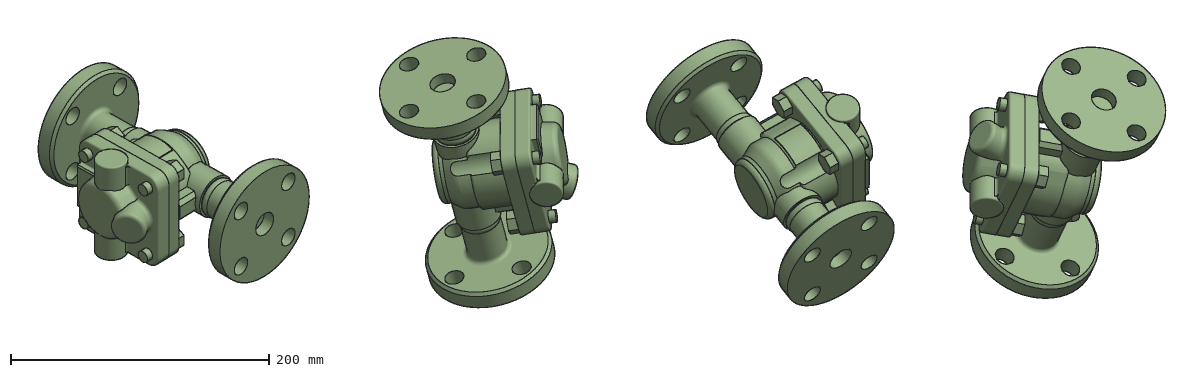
import cadquery as cq
import math

SIN_45 = math.sin(math.radians(45))

LENGTH = 195.0
FLANGE_DIA = 100.0
FLANGE_THICKNESS = 14.6
FLANGE_CHAMFER = 2.4
FLANGE_HOLE_DIA = 15.0
FLANGE_BOLT_CIRCLE = 75.0
FLANGE_HOLE_COUNT = 4
FLANGE_HOLE_START = 45.0
BORE_DIA = 20.0
BORE_DEPTH = 10.0
PIPE_DIA = 32.0
NECK_FILLET = 3.6
BEAD_HEIGHT = 0.8
BEAD_START = 45.6
BEAD_END = 50.8
ARM_DIA = 36.0
ARM_REACH = 45.0

BODY_X = -6.0
BODY_TOP_Y = 22.0
CAP_RADIUS = 26.0
CAP_SHOULDER_DEPTH = 4.0
CAP_ROUND = 5.0
CAP_FACE_RADIUS = 22.9
CAP_EDGE_Y = 17.0
NECK_RADIUS = 25.6
NECK_FLARE_Y = 13.8
NECK_FLARE_RADIUS = 26.4
SHOULDER_MID_Y = 7.5
SHOULDER_MID_RADIUS = 30.5
SHOULDER_Y = 1.2
SHOULDER_RADIUS = 32.1
CHEEK_HALF_WIDTH = 36.5
CHEEK_EDGE_X = 28.8
CHEEK_EDGE_Z = 19.5
CROWN_RADIUS = 33.0
CHEEK_BACK_Y = -6.0
CHEEK_ROUND = 3.5

JOINT_X = -3.0
JOINT_WIDTH = 85.2
JOINT_BACK_Y = -34.8
JOINT_SPLIT_Y = -46.7
JOINT_FRONT_Y = -59.0
BODY_FLANGE_SHIFT = 0.2
COVER_EXTRA_HEIGHT = 0.2
BODY_FLANGE_ROUND = 1.5
COVER_ROUND = 1.8
BOLT_PITCH = 63.8
BOLT_OFFSET = BOLT_PITCH / 2
JOINT_CORNER = JOINT_WIDTH / 2 - BOLT_OFFSET
BOLT_DIA = 10.0
BOLT_END_Y = -64.8
NUT_FLATS = 16.0
NUT_SIDES = 6
NUT_HALF_SIDE_ANGLE = 180 / NUT_SIDES
NUT_HEIGHT = 7.9
CHANNEL_RADIUS = 12.8
CHANNEL_END_Y = 12.0

RIB_END_X = 40.2
RIB_HALF_HEIGHT = 9.4
RIB_CHAMFER = 3.4

PAD_X_MIN = -22.9
PAD_X_MAX = 7.5
PAD_BACK_Y = -8.8
PAD_FRONT_Y = -33.3
PAD_HEIGHT = 0.8

DOME_RADIUS = 26.8
DOME_END_Y = -77.2
DOME_ROUND = 5.0
DOME_DRAFT = 8.0
DOME_FOOT_FILLET = 2.8
BOSS_DIA = 26.2
BOSS_HALF_HEIGHT = 44.5
BOSS_Y = -63.8
BOSS_ROUND = 1.2
BOSS_FOOT_HALF_WIDTH = 15.6
BOSS_FOOT_FILLET = 2.8
BOSS_COLLAR_FILLET = 0.9
PLUG_DIA = 28.0
PLUG_TILT = 30.0
PLUG_FACE_X = 26.5
PLUG_FACE_Y = -78.65
PLUG_LENGTH = 32.0
PLUG_ROUND = 3.0
PLUG_FOOT_FILLET = 3.0
NAMEPLATE_END_X = -42.8
NAMEPLATE_HEIGHT = 39.6
NAMEPLATE_FOOT_FILLET = 0.9
NAMEPLATE_Y = -64.4
NAMEPLATE_CHAMFER = 1.2


def cylinder_x(dia, x_start, x_end):
    length = x_end - x_start
    return cq.Workplane("YZ").workplane(offset=x_start).circle(dia / 2).extrude(length)


def cylinder_y(x, z, dia, y_start, y_end):
    plane = cq.Workplane("XZ", origin=(x, y_start, z))
    return plane.circle(dia / 2).extrude(y_start - y_end)


def joint_bolts():
    return [
        (JOINT_X + sx * BOLT_OFFSET, sz * BOLT_OFFSET)
        for sx in (-1, 1)
        for sz in (-1, 1)
    ]


def pipe_end():
    """Flange, pipe, weld bead and arm on the +X side."""
    face = LENGTH / 2
    back = face - FLANGE_THICKNESS
    flange = cylinder_x(FLANGE_DIA, back, face).faces("<X").chamfer(FLANGE_CHAMFER)
    pipe = cylinder_x(PIPE_DIA, ARM_REACH, back)
    end = flange.union(pipe)
    end = end.edges(cq.selectors.RadiusNthSelector(0)).edges(">X").fillet(NECK_FILLET)
    pipe_radius = PIPE_DIA / 2
    bead_crest = ((BEAD_START + BEAD_END) / 2, pipe_radius + BEAD_HEIGHT)
    bead = (
        cq.Workplane("XY")
        .moveTo(BEAD_START, 0)
        .lineTo(BEAD_START, pipe_radius)
        .threePointArc(bead_crest, (BEAD_END, pipe_radius))
        .lineTo(BEAD_END, 0)
        .close()
        .revolve(360, (0, 0), (1, 0))
    )
    arm = cylinder_x(ARM_DIA, 0, ARM_REACH)
    end = end.union(bead).union(arm)
    holes = (
        cq.Workplane("YZ")
        .workplane(offset=back)
        .polarArray(FLANGE_BOLT_CIRCLE / 2, FLANGE_HOLE_START, 360, FLANGE_HOLE_COUNT)
        .circle(FLANGE_HOLE_DIA / 2)
        .extrude(FLANGE_THICKNESS)
    )
    bore = cylinder_x(BORE_DIA, face - BORE_DEPTH, face)
    return end.cut(holes).cut(bore)


def body_barrel():
    """Turned body from the rounded cap down to the joint."""
    profile = (
        cq.Workplane("XY")
        .moveTo(0, BODY_TOP_Y)
        .lineTo(CAP_FACE_RADIUS, BODY_TOP_Y)
        .radiusArc((CAP_RADIUS, BODY_TOP_Y - CAP_SHOULDER_DEPTH), CAP_ROUND)
        .lineTo(CAP_RADIUS, CAP_EDGE_Y)
        .lineTo(NECK_RADIUS, CAP_EDGE_Y)
        .lineTo(NECK_FLARE_RADIUS, NECK_FLARE_Y)
        .lineTo(SHOULDER_MID_RADIUS, SHOULDER_MID_Y)
        .tangentArcPoint((SHOULDER_RADIUS, SHOULDER_Y), relative=False)
        .lineTo(SHOULDER_RADIUS, JOINT_BACK_Y)
        .lineTo(0, JOINT_BACK_Y)
        .close()
    )
    return profile.revolve(360, (0, 0), (0, 1)).translate((BODY_X, 0, 0))


def body_cheeks():
    """Wider sides of the body, meeting a round crown at top and bottom."""
    edge_radius = math.hypot(CHEEK_EDGE_X, CHEEK_EDGE_Z)
    edge_angle = math.atan2(CHEEK_EDGE_Z, CHEEK_EDGE_X)
    tangent_angle = edge_angle + math.acos(CROWN_RADIUS / edge_radius)
    tangent_x = CROWN_RADIUS * math.cos(tangent_angle)
    tangent_z = CROWN_RADIUS * math.sin(tangent_angle)
    outline = (
        cq.Workplane("XZ", origin=(BODY_X, CHEEK_BACK_Y, 0))
        .moveTo(-tangent_x, tangent_z)
        .threePointArc((0, CROWN_RADIUS), (tangent_x, tangent_z))
        .lineTo(CHEEK_EDGE_X, CHEEK_EDGE_Z)
        .threePointArc((CHEEK_HALF_WIDTH, 0), (CHEEK_EDGE_X, -CHEEK_EDGE_Z))
        .lineTo(tangent_x, -tangent_z)
        .threePointArc((0, -CROWN_RADIUS), (-tangent_x, -tangent_z))
        .lineTo(-CHEEK_EDGE_X, -CHEEK_EDGE_Z)
        .threePointArc((-CHEEK_HALF_WIDTH, 0), (-CHEEK_EDGE_X, CHEEK_EDGE_Z))
        .close()
    )
    cheeks = outline.extrude(CHEEK_BACK_Y - JOINT_BACK_Y)
    return cheeks.faces(">Y").edges().fillet(CHEEK_ROUND)


def body_pad():
    pad_radius = CROWN_RADIUS + PAD_HEIGHT
    disc = cylinder_y(BODY_X, 0, 2 * pad_radius, PAD_BACK_Y, PAD_FRONT_Y)
    width = PAD_X_MAX - PAD_X_MIN
    window = cq.Workplane("XY").box(
        width, PAD_BACK_Y - PAD_FRONT_Y, pad_radius, centered=False
    )
    return disc.intersect(window.translate((PAD_X_MIN, PAD_FRONT_Y, 0)))


def body():
    """Barrel, cheeks and pad, cleared beside the two inlet-side nuts."""
    solid = body_barrel().union(body_cheeks()).union(body_pad())
    for x, z in joint_bolts():
        if x < JOINT_X:
            solid = solid.cut(
                cylinder_y(x, z, 2 * CHANNEL_RADIUS, CHANNEL_END_Y, JOINT_BACK_Y)
            )
    return solid


def outlet_rib():
    rib = cq.Workplane("XY").box(
        RIB_END_X, -JOINT_BACK_Y, 2 * RIB_HALF_HEIGHT, centered=(False, False, True)
    )
    rib = rib.edges(">X and |Y").chamfer(RIB_CHAMFER)
    return rib.translate((0, JOINT_BACK_Y, 0))


def square_plate(x, height, y_back, y_front):
    plane = cq.Workplane("XZ", origin=(x, y_back, 0))
    plate = plane.rect(JOINT_WIDTH, height).extrude(y_back - y_front)
    return plate.edges("|Y").fillet(JOINT_CORNER)


def body_flange():
    plate = square_plate(
        JOINT_X + BODY_FLANGE_SHIFT, JOINT_WIDTH, JOINT_BACK_Y, JOINT_SPLIT_Y
    )
    return plate.faces(">Y").edges().fillet(BODY_FLANGE_ROUND)


def dome():
    """Round dome that runs on to a 45 degree point under the plug."""
    tangent = DOME_RADIUS * SIN_45
    point = DOME_RADIUS / SIN_45
    outline = (
        cq.Workplane("XZ", origin=(BODY_X, JOINT_FRONT_Y, 0))
        .moveTo(tangent, tangent)
        .threePointArc((-DOME_RADIUS, 0), (tangent, -tangent))
        .lineTo(point, 0)
        .close()
    )
    solid = outline.extrude(JOINT_FRONT_Y - DOME_END_Y, taper=DOME_DRAFT)
    return solid.faces("<Y").edges().fillet(DOME_ROUND)


def drain_boss():
    boss = cq.Workplane("XY", origin=(BODY_X, BOSS_Y, 0))
    boss = boss.circle(BOSS_DIA / 2).extrude(BOSS_HALF_HEIGHT, both=True)
    return boss.edges("%CIRCLE").fillet(BOSS_ROUND)


def boss_foot():
    """Hollow fillets between the drain boss and the cover front."""
    wall_x = BOSS_FOOT_HALF_WIDTH - BOSS_FOOT_FILLET
    crest_y = JOINT_FRONT_Y - BOSS_FOOT_FILLET
    middle = BOSS_FOOT_FILLET * (1 - SIN_45)
    half_height = (JOINT_WIDTH + COVER_EXTRA_HEIGHT) / 2 - COVER_ROUND
    profile = (
        cq.Workplane("XY", origin=(BODY_X, 0, 0))
        .moveTo(-BOSS_FOOT_HALF_WIDTH, JOINT_FRONT_Y)
        .threePointArc((-wall_x - middle, JOINT_FRONT_Y - middle), (-wall_x, crest_y))
        .lineTo(wall_x, crest_y)
        .threePointArc(
            (wall_x + middle, JOINT_FRONT_Y - middle), (BOSS_FOOT_HALF_WIDTH, JOINT_FRONT_Y)
        )
        .close()
    )
    return profile.extrude(half_height, both=True)


def boss_collars():
    """Hollow fillets around the boss ends, on the cover's top and bottom edges."""
    base_z = (JOINT_WIDTH + COVER_EXTRA_HEIGHT) / 2
    radius = BOSS_DIA / 2
    collar = (
        cq.Workplane("XZ")
        .moveTo(0, 0)
        .lineTo(0, base_z + BOSS_COLLAR_FILLET)
        .lineTo(radius, base_z + BOSS_COLLAR_FILLET)
        .radiusArc((radius + BOSS_COLLAR_FILLET, base_z), -BOSS_COLLAR_FILLET)
        .lineTo(radius + BOSS_COLLAR_FILLET, 0)
        .close()
        .revolve(360, (0, 0), (0, 1))
        .translate((BODY_X, BOSS_Y, 0))
    )
    collars = collar.union(collar.mirror("XY"))
    front_y = JOINT_FRONT_Y + COVER_ROUND
    keep = cq.Workplane("XY").box(JOINT_WIDTH, JOINT_SPLIT_Y - front_y, 3 * base_z)
    return collars.intersect(keep.translate((JOINT_X, (JOINT_SPLIT_Y + front_y) / 2, 0)))


def strainer_plug():
    tilt = math.radians(PLUG_TILT)
    outward = cq.Vector(math.sin(tilt), -math.cos(tilt), 0)
    plane = cq.Plane((PLUG_FACE_X, PLUG_FACE_Y, 0), xDir=(0, 0, 1), normal=outward.toTuple())
    plug = cq.Workplane(plane).circle(PLUG_DIA / 2).extrude(-PLUG_LENGTH)
    rim = cq.selectors.DirectionMinMaxSelector(outward, True)
    return plug.faces(rim).edges().fillet(PLUG_ROUND)


def nameplate_pad():
    length = BODY_X - NAMEPLATE_END_X
    depth = JOINT_FRONT_Y - NAMEPLATE_Y
    pad = cq.Workplane("XY").box(
        length, depth, NAMEPLATE_HEIGHT, centered=(False, False, True)
    )
    pad = pad.translate((NAMEPLATE_END_X, NAMEPLATE_Y, 0))
    return pad.faces("<Y").edges("<X or |X").chamfer(NAMEPLATE_CHAMFER)


def front_edges(x_min, x_max, half_height):
    """Selects the edges lying on the cover front inside an X and Z window."""
    margin = 0.1
    return cq.selectors.BoxSelector(
        (x_min - margin, JOINT_FRONT_Y - margin, -half_height - margin),
        (x_max + margin, JOINT_FRONT_Y + margin, half_height + margin),
        boundingbox=True,
    )


def cover():
    """Cover plate with its dome, nameplate pad, plug and drain boss."""
    plate = square_plate(
        JOINT_X, JOINT_WIDTH + COVER_EXTRA_HEIGHT, JOINT_SPLIT_Y, JOINT_FRONT_Y
    )
    plate = plate.faces("<Y").edges().fillet(COVER_ROUND)
    dome_point_x = BODY_X + DOME_RADIUS / SIN_45
    dome_foot = front_edges(BODY_X - DOME_RADIUS, dome_point_x, DOME_RADIUS)
    plug_foot = front_edges(BODY_X, dome_point_x, PLUG_DIA / 2)
    nameplate_foot = front_edges(NAMEPLATE_END_X, BODY_X, NAMEPLATE_HEIGHT / 2)

    domed = plate.union(dome()).edges(dome_foot).fillet(DOME_FOOT_FILLET)
    plugged = plate.union(strainer_plug()).edges(plug_foot).fillet(PLUG_FOOT_FILLET)
    nameplated = plate.union(nameplate_pad()).edges(nameplate_foot).fillet(NAMEPLATE_FOOT_FILLET)
    solid = domed.union(nameplated).union(plugged)
    return solid.union(drain_boss()).union(boss_foot()).union(boss_collars())


def nut_and_bolt(x, z):
    """Nut behind the body flange, one corner up, with its bolt through both plates."""
    corner_dia = NUT_FLATS / math.cos(math.radians(NUT_HALF_SIDE_ANGLE))
    nut = cq.Workplane("XZ", origin=(x, JOINT_BACK_Y + NUT_HEIGHT, z))
    nut = nut.polygon(NUT_SIDES, corner_dia).extrude(NUT_HEIGHT)
    nut = nut.rotate((x, 0, z), (x, 1, z), NUT_HALF_SIDE_ANGLE)
    return nut.union(cylinder_y(x, z, BOLT_DIA, JOINT_BACK_Y + NUT_HEIGHT, BOLT_END_Y))


outlet = pipe_end()
result = body().union(outlet).union(outlet.mirror("YZ"))
result = result.union(outlet_rib())
result = result.union(body_flange()).union(cover())
for bolt_x, bolt_z in joint_bolts():
    result = result.union(nut_and_bolt(bolt_x, bolt_z))